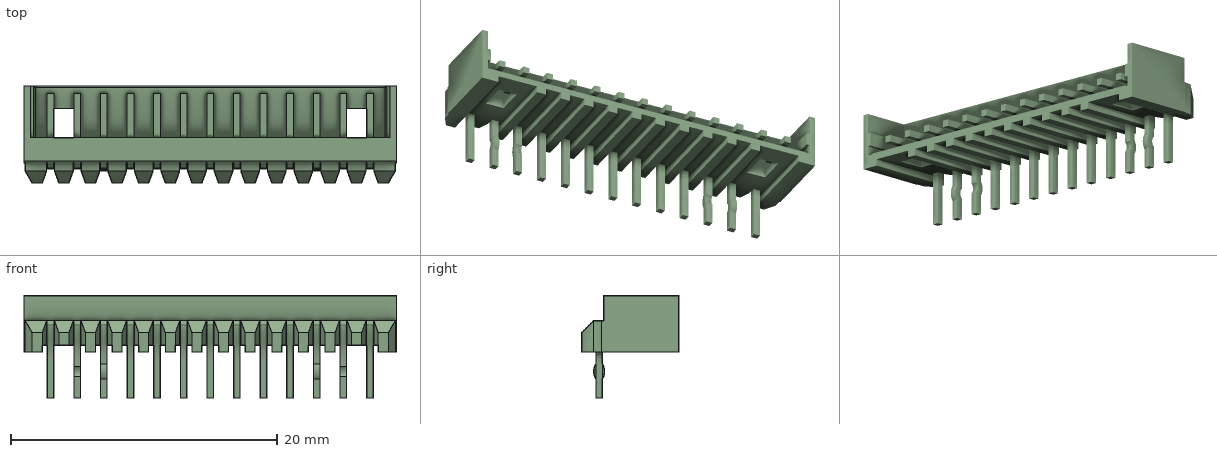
import cadquery as cq
import math


length = 28.0
total_depth = 7.3
housing_height = 4.23
total_height = 7.7

pin_count = 13
tooth_count = pin_count + 1
pitch = length / tooth_count
pin_size = 0.5
pin_drop = total_height - housing_height
pin_front = -6.25
pin_rear = -0.6
pin_top = 2.35
pin_bend_radius = 0.35

pin_kinks = {2: 1, 3: -1, pin_count - 2: -1, pin_count - 1: 1}
kink_z = -1.45
kink_offset = 0.17
kink_inner_radius = pin_size

end_wall = 0.48
wall_rear = -3.9
wall_front = -5.65
step_front = -5.8
step_top = 2.35
floor_bottom = 0.5
floor_top = 1.1
floor_bevel = 0.15

rail_width = 0.25
rail_height = 0.98
rail_bottom = 1.7
rail_top = rail_bottom + rail_height

window_rear = -1.7

tooth_gap = 0.6
tooth_width = pitch - tooth_gap
tooth_taper_start = -6.4
tooth_front = -total_depth
tooth_nose_width = 0.75
tooth_nose_top = 1.45
end_tooth_inset = 0.08


def block(x_range, y_range, z_range):
    """Box spanning the given (low, high) ranges."""
    (x0, x1), (y0, y1), (z0, z1) = x_range, y_range, z_range
    return cq.Workplane("XY").box(x1 - x0, y1 - y0, z1 - z0, centered=False).translate((x0, y0, z0))


def span(centre, width):
    return centre - width / 2, centre + width / 2


def row_positions(count):
    return [(i - (count - 1) / 2) * pitch for i in range(count)]


def along_x(profile, x_range):
    """Extrude a closed YZ profile between two X positions."""
    x0, x1 = x_range
    return profile.extrude(x1 - x0).translate((x0, 0, 0))


def make_end_wall():
    """Right-hand end wall with its inner rail."""
    outer = length / 2
    inner = outer - end_wall
    wall = block((inner, outer), (wall_front, 0), (0, housing_height))
    rail = block((inner - rail_width, inner), (wall_rear, 0), (rail_bottom, rail_top))
    return wall.union(rail)


def make_floor():
    """Floor whose raised middle is bevelled along the rear and down to a groove under each rail."""
    base_top = floor_top - floor_bevel
    base = block((-length / 2, length / 2), (step_front, 0), (floor_bottom, base_top))
    middle_x = span(0, length - 2 * (end_wall + rail_width))
    middle = block(middle_x, (wall_front, 0), (floor_bottom, floor_top))
    middle = middle.faces(">Z").edges("<X or >X or >Y").chamfer(floor_bevel)
    return base.union(middle)


def make_housing():
    full = (-length / 2, length / 2)
    floor = make_floor()
    front_wall = block(full, (wall_front, wall_rear), (floor_bottom, housing_height))
    step = block(full, (step_front, wall_front), (floor_bottom, step_top))
    end = make_end_wall()
    return floor.union(front_wall).union(step).union(end).union(end.mirror("YZ"))


def make_tooth(x, left, right):
    """Tooth whose sides and top taper towards a narrow nose centred on x."""
    nose_left, nose_right = span(x, tooth_nose_width)
    plan = (
        cq.Workplane("XY")
        .polyline([
            (left, step_front),
            (left, tooth_taper_start),
            (nose_left, tooth_front),
            (nose_right, tooth_front),
            (right, tooth_taper_start),
            (right, step_front),
        ])
        .close()
        .extrude(step_top)
    )
    side = (
        cq.Workplane("YZ")
        .polyline([
            (step_front, 0),
            (step_front, step_top),
            (tooth_taper_start, step_top),
            (tooth_front, tooth_nose_top),
            (tooth_front, 0),
        ])
        .close()
    )
    return plan.intersect(along_x(side, (left, right)))


def add_teeth(body):
    """Add the teeth, which end level with the floor, and a rib below each down to the underside.

    The second tooth from either end has a floor window behind it instead of a rib.
    """
    depth = (tooth_front, 0)
    below_floor = (0, floor_bottom)
    last = tooth_count - 1
    for i, x in enumerate(row_positions(tooth_count)):
        left, right = span(x, tooth_width)
        rib_left, rib_right = span(x, tooth_nose_width)
        if i == 0:
            left = end_tooth_inset - length / 2
            rib_left = -length / 2
        if i == last:
            right = length / 2 - end_tooth_inset
            rib_right = length / 2
        tooth = make_tooth(x, left, right)
        upper_tooth = tooth.intersect(block((left, right), depth, (floor_bottom, step_top)))
        body = body.union(upper_tooth)
        if i in (1, last - 1):
            window = block(span(x, pitch - pin_size), (wall_rear, window_rear), (0, floor_top))
            body = body.cut(window)
        else:
            rib_x = (rib_left, rib_right)
            front_rib = tooth.intersect(block(rib_x, depth, below_floor))
            body = body.union(front_rib).union(block(rib_x, (step_front, 0), below_floor))
    return body


def make_kink(direction):
    """Curved stretch of pin; returns the bent piece and the height of straight pin it replaces."""
    outer_radius = kink_inner_radius + pin_size
    far_face = outer_radius - kink_offset
    near_face = far_face - pin_size
    outer_half = math.sqrt(outer_radius**2 - far_face**2)
    inner_half = math.sqrt(kink_inner_radius**2 - near_face**2)
    profile = (
        cq.Workplane("YZ")
        .moveTo(near_face, -inner_half)
        .lineTo(near_face, -outer_half)
        .lineTo(far_face, -outer_half)
        .threePointArc((outer_radius, 0), (far_face, outer_half))
        .lineTo(near_face, outer_half)
        .lineTo(near_face, inner_half)
        .threePointArc((kink_inner_radius, 0), (near_face, -inner_half))
        .close()
    )
    mid_face = (near_face + far_face) / 2
    piece = along_x(profile, span(0, pin_size)).translate((0, -mid_face, 0))
    if direction < 0:
        piece = piece.mirror("XZ")
    return piece, 2 * outer_half


def make_pin(kink_direction):
    leg_rear = pin_front + pin_size
    profile = (
        cq.Workplane("YZ")
        .moveTo(pin_front, -pin_drop)
        .lineTo(pin_front, pin_top - pin_bend_radius)
        .radiusArc((pin_front + pin_bend_radius, pin_top), pin_bend_radius)
        .lineTo(pin_rear, pin_top)
        .lineTo(pin_rear, pin_top - pin_size)
        .lineTo(leg_rear, pin_top - pin_size)
        .lineTo(leg_rear, -pin_drop)
        .close()
    )
    pin = along_x(profile, span(0, pin_size))
    if kink_direction:
        piece, height = make_kink(kink_direction)
        pin = pin.cut(block(span(0, pin_size), (pin_front, leg_rear), span(kink_z, height)))
        pin = pin.union(piece.translate((0, pin_front + pin_size / 2, kink_z)))
    return pin


result = add_teeth(make_housing())
for number, x in enumerate(row_positions(pin_count), start=1):
    result = result.union(make_pin(pin_kinks.get(number, 0)).translate((x, 0, 0)))